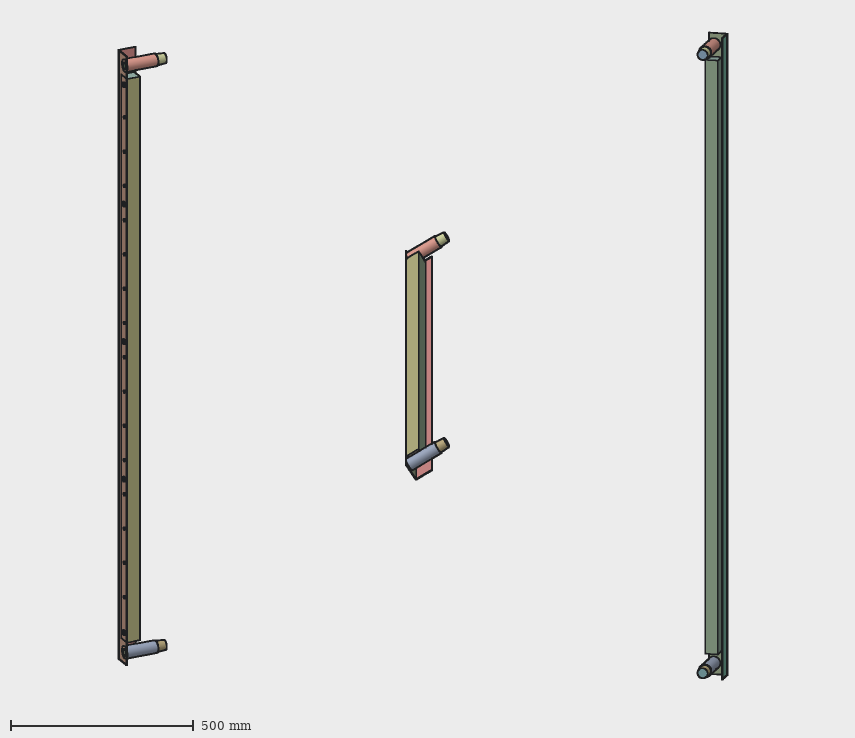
import cadquery as cq

length = 1808.0
leg = 52.0
wall = 2.0

bar_width = 36.0
bar_depth = 40.0
bar_end_gap = 67.0
bar_length = length - 2 * bar_end_gap
bar_center_x = leg - bar_width / 2

overall_depth = 123.0
pin_diameter = 36.0
pin_x = 38.0
pin_end_distance = 33.0
neck_length = 27.0
neck_base_diameter = 33.0
neck_tip_diameter = 29.0
pin_body_length = overall_depth - neck_length - wall
pin_heights = [pin_end_distance, length - pin_end_distance]

pin_hole_diameter = 20.0
mount_hole_diameter = 14.3
mount_end_distance = 90.0
mount_middle_height = 955.0
mount_pitch = 409.0
mount_heights = [mount_end_distance, length - mount_end_distance]
mount_heights += [mount_middle_height + step * mount_pitch for step in (-1, 0, 1)]
small_hole_diameter = 8.0
small_hole_count = 15
small_hole_start = 197.0
small_hole_end = 1622.0
small_hole_pitch = (small_hole_end - small_hole_start) / (small_hole_count - 1)
small_hole_heights = [small_hole_start + i * small_hole_pitch for i in range(small_hole_count)]


def plate_holes(diameter, x, heights):
    """Cutters along Y through the front plate at the given heights."""
    return (
        cq.Workplane("XZ")
        .pushPoints([(x, z) for z in heights])
        .circle(diameter / 2)
        .extrude(-wall)
    )


def make_angle():
    """L-section rail with its rows of plate holes."""
    section = [(0, 0), (leg, 0), (leg, wall), (wall, wall), (wall, leg), (0, leg)]
    angle = cq.Workplane("XY").polyline(section).close().extrude(length)
    angle = angle.cut(plate_holes(pin_hole_diameter, pin_x, pin_heights))
    angle = angle.cut(plate_holes(mount_hole_diameter, bar_center_x, mount_heights))
    return angle.cut(plate_holes(small_hole_diameter, pin_x, small_hole_heights))


def make_bar():
    """Plain bar against the back of the plate, between the pins."""
    return (
        cq.Workplane("XY")
        .box(bar_width, bar_depth, bar_length, centered=(True, False, False))
        .translate((bar_center_x, wall, bar_end_gap))
    )


def make_pin(z):
    """Round pin along Y with a slightly tapered neck, standing on the plate."""
    shoulder_y = wall + pin_body_length
    half_profile = [
        (0, wall),
        (pin_diameter / 2, wall),
        (pin_diameter / 2, shoulder_y),
        (neck_base_diameter / 2, shoulder_y),
        (neck_tip_diameter / 2, overall_depth),
        (0, overall_depth),
    ]
    pin = cq.Workplane("XY").polyline(half_profile).close().revolve(360, (0, 0), (0, 1))
    return pin.translate((pin_x, 0, z))


angle = make_angle()
bar = make_bar()
pins = [make_pin(z) for z in pin_heights]

result = cq.Compound.makeCompound([angle.val(), bar.val(), *[pin.val() for pin in pins]])